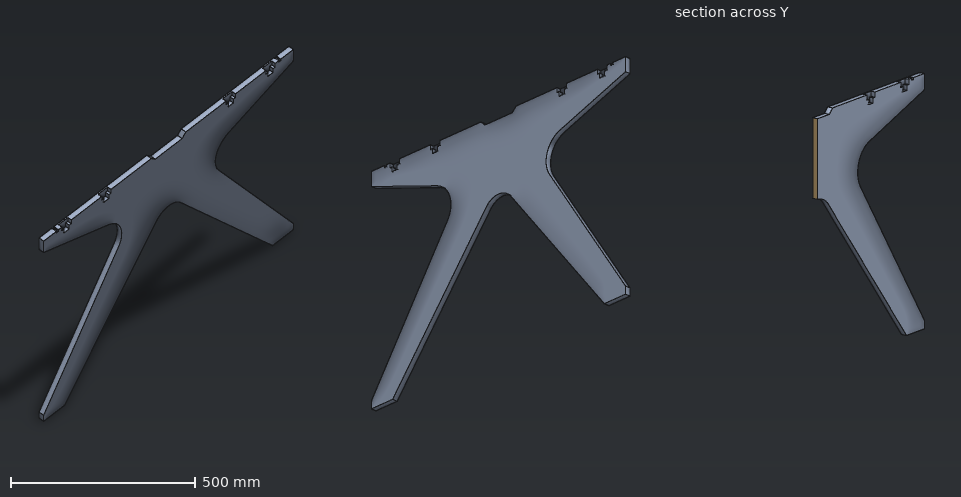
import cadquery as cq

thickness = 18.0
width = 980.0
height = 720.0
half_width = width / 2

arm_end_height = 46.0
arm_slope = 0.345
toe_height = 24.5
foot_width = 82.0
leg_outer_slope = 1.51
leg_inner_slope = 1.26
side_radius = 80.0
crotch_radius = 60.0

recess_top_width = 135.0
recess_floor_width = 106.0
recess_depth = 15.0

notch_offset = 436.0
notch_width = 8.0
notch_depth = 6.0

pocket_offsets = (244.0, 400.0)
pocket_wall = 5.0
pocket_width = 36.0
pocket_depth = 15.0
pocket_slot_width = 20.0
pocket_slot_depth = 29.0


def make_plate():
    """Symmetric plate with two arms, two legs and rounded inner corners."""
    arm_low_z = height - arm_end_height
    waist_inset = (arm_low_z - toe_height) / (arm_slope + leg_outer_slope)
    waist_y = half_width - waist_inset
    waist_z = arm_low_z - arm_slope * waist_inset
    foot_inner_y = half_width - foot_width
    crotch_z = leg_inner_slope * foot_inner_y

    right_half = [
        (recess_floor_width / 2, height - recess_depth),
        (recess_top_width / 2, height),
        (half_width, height),
        (half_width, arm_low_z),
        (waist_y, waist_z),
        (half_width, toe_height),
        (half_width, 0),
        (foot_inner_y, 0),
    ]
    left_half = [(-y, z) for y, z in reversed(right_half)]
    outline = right_half + [(0, crotch_z)] + left_half
    plate = cq.Workplane("YZ").polyline(outline).close().extrude(thickness)

    def round_corner(body, y, z, radius):
        corner = cq.selectors.NearestToPointSelector((thickness / 2, y, z))
        return body.edges("|X").edges(corner).fillet(radius)

    for side in (-1, 1):
        plate = round_corner(plate, side * waist_y, waist_z, side_radius)
    return round_corner(plate, 0, crotch_z, crotch_radius)


def top_cut(center_y, cut_width, depth, start_x):
    """Block cutting down from the top edge, from start_x through the +X face."""
    return (
        cq.Workplane("XY")
        .box(thickness - start_x, cut_width, depth, centered=(False, True, False))
        .translate((start_x, center_y, height - depth))
    )


result = make_plate()
for side in (-1, 1):
    result = result.cut(top_cut(side * notch_offset, notch_width, notch_depth, 0))
    for offset in pocket_offsets:
        center_y = side * offset
        result = result.cut(top_cut(center_y, pocket_width, pocket_depth, pocket_wall))
        result = result.cut(top_cut(center_y, pocket_slot_width, pocket_slot_depth, pocket_wall))